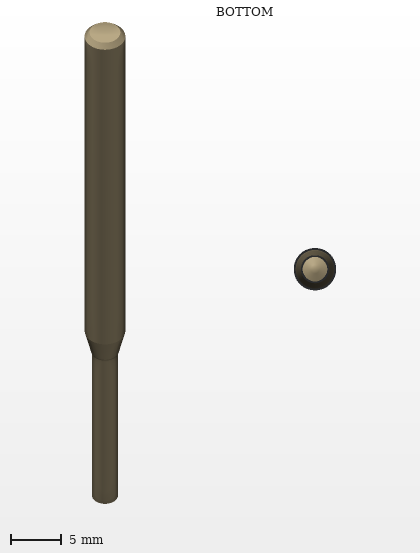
import cadquery as cq
import math

total_length = 62.0
shank_diameter = 4.0
drill_diameter = 2.6
point_angle = 140.0
cutting_length = 16.9
collar_height = 19.5
collar_diameter = 2.8
collar_bevel_height = 0.2
taper_top_height = 22.3
shank_chamfer = 0.5

shank_radius = shank_diameter / 2
drill_radius = drill_diameter / 2
collar_radius = collar_diameter / 2
point_height = drill_radius / math.tan(math.radians(point_angle / 2))


def revolve_profile(points):
    """Turn a closed (radius, height) outline once around the Z axis."""
    return cq.Workplane("XZ").polyline(points).close().revolve(360, (0, 0), (0, 1))


def make_cutting_part():
    """Plain cylinder with a conical drill point."""
    return revolve_profile([
        (0, 0),
        (drill_radius, point_height),
        (drill_radius, cutting_length),
        (0, cutting_length),
    ])


def make_shank():
    """Neck, tapered collar and clamping shank with a chamfered end."""
    return revolve_profile([
        (0, cutting_length),
        (drill_radius, cutting_length),
        (drill_radius, collar_height),
        (collar_radius, collar_height + collar_bevel_height),
        (shank_radius, taper_top_height),
        (shank_radius, total_length - shank_chamfer),
        (shank_radius - shank_chamfer, total_length),
        (0, total_length),
    ])


cutting_part = make_cutting_part()
shank = make_shank()

result = cq.Compound.makeCompound([cutting_part.val(), shank.val()])